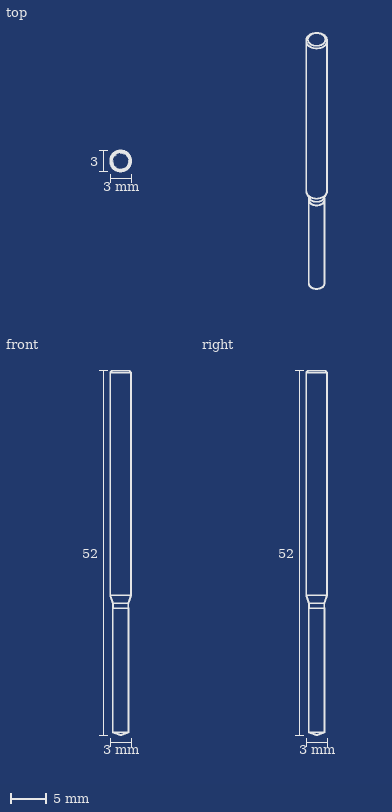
import cadquery as cq

total_length = 52.0
shank_radius = 1.5

chamfer_width = 0.25
chamfer_height = 0.25

shoulder_height = 19.95
taper_end_height = 18.8
cutter_top_height = 18.1
tip_height = 0.4

neck_diameter = 2.25
cutter_diameter = 2.3
neck_radius = neck_diameter / 2
cutter_radius = cutter_diameter / 2


def revolve_profile(points):
    """Revolve a closed (radius, height) outline around the Z axis."""
    return cq.Workplane("XZ").polyline(points).close().revolve(360, (0, 0), (0, 1))


def make_shank():
    """Chamfered shank that tapers down to a short neck resting on the cutter."""
    return revolve_profile([
        (0, cutter_top_height),
        (neck_radius, cutter_top_height),
        (neck_radius, taper_end_height),
        (shank_radius, shoulder_height),
        (shank_radius, total_length - chamfer_height),
        (shank_radius - chamfer_width, total_length),
        (0, total_length),
    ])


def make_cutter():
    """Cylindrical cutter with a shallow conical point."""
    return revolve_profile([
        (0, 0),
        (cutter_radius, tip_height),
        (cutter_radius, cutter_top_height),
        (0, cutter_top_height),
    ])


shank = make_shank()
cutter = make_cutter()

centre_shift = (0, 0, -total_length / 2)
result = cq.Compound.makeCompound([
    shank.translate(centre_shift).val(),
    cutter.translate(centre_shift).val(),
])